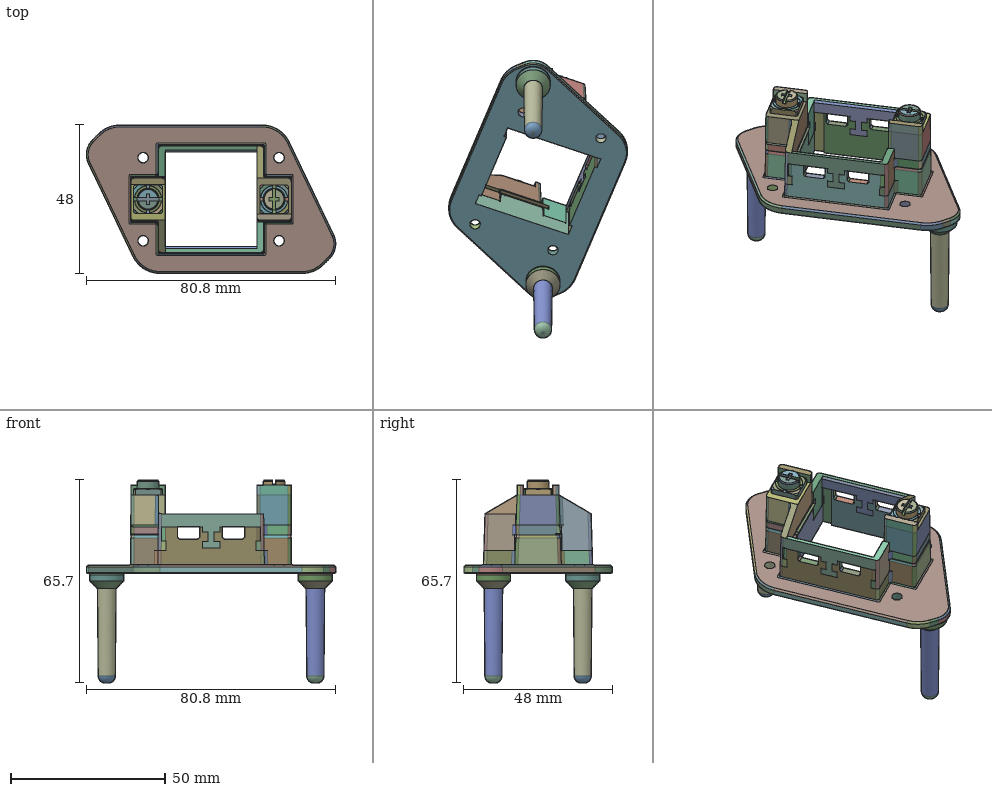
import cadquery as cq
import math


plate_thickness = 2.75
plate_half_depth = 48.05 / 2
plate_half_length = 80.75 / 2
plate_top_chamfer = 0.6
plate_bottom_chamfer = 0.35
nose_radius = 6.62
plate_corner_radius = 9.8
slant_angle = 25.6
nose_angle = -45
mount_hole_x = 22.0
mount_hole_y = 13.45
mount_hole_diameter = 3.3

pin_x = plate_half_length - nose_radius
pin_y = 14.45
pad_thickness = 0.45
pin_head_radius = 5.55
pin_head_bottom = -2.35
pin_cone_bottom = -4.9
pin_root_radius = 3.05
pin_end_radius = 2.8
pin_bottom = -35.5
pin_tip_radius = 2.4

wall_half_bottom = (17.25, 17.7)
wall_half_top = (16.95, 17.05)
tower_half_bottom = (26.03, 7.55)
tower_half_top = (25.98, 6.8)
frame_corner_radius = 1.05
foot_width = 0.5
foot_height = 0.25
opening_half_x = 14.8
opening_half_y = 15.27
band_bevel_width = 0.73
band_bevel_height = 0.6

side_split = 7.44
hook_top = 10.6
sill = 11.15
shoulder = 11.5
neck_bottom = 12.5
neck_top = 15.7
band_bottom = 15.1
band_top = 19.35
tower_top = 25.45
lug_top = 28.6

shoulder_inset = 0.25
neck_chamfer = 0.6
neck_relief = 0.3
neck_relief_length = 1.4
wall_gap = 0.2
lug_inner_y = 4.75
leg_edge_x = 16.05
hook_edge_x = 14.53
hook_depth = 1.0
wall_edge_radius = 1.25
key_half_width = 2.82
key_neck_half_width = 1.03
key_head_bottom = 13.45
key_foot_top = 10.45
key_bottom = 8.25
window_x = 7.25
window_width = 7.15
window_corner = 0.6
groove_x = 11.5
groove_half_y = 16.1
slot_depth = 1.0
slot_bottom = 12.95
slot_near_y = -9.3
slot_far_y = 13.4

terminal_x = 20.4
washer_side = 9.25
washer_thickness = 2.1
washer_edge_chamfer = 0.5
washer_corner_bevel = 1.9
washer_bevel_drop = 0.6
washer_land_radius = 4.4
washer_land_height = 0.15
washer_groove_width = 1.1
washer_groove_depth = 0.3
screw_radius = 3.55
screw_height = 2.65
screw_chamfer = 0.35
drive_width = 1.0
drive_depth = 1.15
cross_length = 3.3

far = 100.0


def box(x0, x1, y0, y1, z0, z1):
    return cq.Workplane("XY").box(x1 - x0, y1 - y0, z1 - z0, centered=False).translate((x0, y0, z0))


def half_turn(body):
    return body.rotate((0, 0, 0), (0, 0, 1), 180)


def with_half_turn(body):
    return body.union(half_turn(body))



def half_size(bottom, top, z):
    """Half lengths of a drafted block at height z."""
    share = (z - plate_thickness) / (tower_top - plate_thickness)
    return [b + share * (t - b) for b, t in zip(bottom, top)]


def drafted_block(bottom, top, z0, z1, inset_at_top=0.0, spread_at_bottom=0.0):
    """Block with rounded corners between two heights of a drafted envelope."""
    lower = [half + spread_at_bottom for half in half_size(bottom, top, z0)]
    upper = [half - inset_at_top for half in half_size(bottom, top, z1)]
    return (
        cq.Workplane("XY").workplane(offset=z0).rect(2 * lower[0], 2 * lower[1])
        .workplane(offset=z1 - z0).rect(2 * upper[0], 2 * upper[1])
        .loft(ruled=True)
        .edges("not(#Z)").fillet(frame_corner_radius)
    )


def wall_block(z0, z1, **edges):
    return drafted_block(wall_half_bottom, wall_half_top, z0, z1, **edges)


def tower_block(z0, z1, **edges):
    return drafted_block(tower_half_bottom, tower_half_top, z0, z1, **edges)


def inner_corner_webs():
    """Fillet material in the four inside corners between side walls and towers."""
    sharp = wall_block(plate_thickness, tower_top).union(tower_block(plate_thickness, tower_top))
    corner_z = (plate_thickness + tower_top) / 2
    corner_x = half_size(wall_half_bottom, wall_half_top, corner_z)[0]
    corner_y = half_size(tower_half_bottom, tower_half_top, corner_z)[1]
    rounded = sharp
    for sx in (-1, 1):
        for sy in (-1, 1):
            near = cq.selectors.NearestToPointSelector((sx * corner_x, sy * corner_y, corner_z))
            rounded = rounded.edges(near).fillet(frame_corner_radius)
    return rounded.cut(sharp)


opening = box(-opening_half_x, opening_half_x, -opening_half_y, opening_half_y, -far, far)
webs = inner_corner_webs()



def edge_crossing(first, second):
    """Crossing of two lines, each given as (direction of its normal, distance from the origin)."""
    (angle_1, d1), (angle_2, d2) = first, second
    a1 = math.radians(angle_1)
    a2 = math.radians(angle_2)
    det = math.sin(a2 - a1)
    return (
        (d1 * math.sin(a2) - d2 * math.sin(a1)) / det,
        (d2 * math.cos(a1) - d1 * math.cos(a2)) / det,
    )


def nose_edge(angle):
    """Plate edge that touches the round nose about the guide pin at (pin_x, -pin_y)."""
    a = math.radians(angle)
    return (angle, pin_x * math.cos(a) - pin_y * math.sin(a) + nose_radius)


def plate():
    back = (90, plate_half_depth)
    front = (-90, plate_half_depth)
    slant = nose_edge(slant_angle)
    nose = nose_edge(nose_angle)
    corners = [edge_crossing(back, slant), edge_crossing(slant, nose), edge_crossing(nose, front)]
    corners += [(-x, -y) for x, y in corners]
    body = cq.Workplane("XY").polyline(corners).close().extrude(plate_thickness)
    for index, (x, y) in enumerate(corners):
        radius = nose_radius if index % 3 == 1 else plate_corner_radius
        near = cq.selectors.NearestToPointSelector((x, y, plate_thickness / 2))
        body = body.edges(near).fillet(radius)
    body = body.faces(">Z").chamfer(plate_top_chamfer)
    body = body.faces("<Z").chamfer(plate_bottom_chamfer)
    for sign in (-1, 1):
        pad = cq.Workplane("XY").center(sign * pin_x, -sign * pin_y).circle(pin_head_radius)
        body = body.union(pad.extrude(-pad_thickness))
    return body


def key():
    """Double-T key that hangs from the front band into the lower frame's front wall."""
    y0, y1 = -far, -opening_half_y
    head = box(-key_half_width, key_half_width, y0, y1, key_head_bottom, band_bottom)
    neck = box(-key_neck_half_width, key_neck_half_width, y0, y1, key_bottom, band_bottom)
    foot = box(-key_half_width, key_half_width, y0, y1, key_bottom, key_foot_top)
    return head.union(neck).union(foot)


def hooks():
    """Hooks at the foot of the two front corner legs."""
    outer_y = half_size(wall_half_bottom, wall_half_top, hook_top)[1]
    right = box(hook_edge_x, leg_edge_x, -far, hook_depth - outer_y, side_split, hook_top)
    return right.union(right.mirror("YZ"))


def windows():
    """Front and back windows, open towards the bands."""
    body = None
    for x in (-window_x, window_x):
        opening_box = (
            box(x - window_width / 2, x + window_width / 2, -far, far, sill, band_top)
            .edges("<Z and |Y").chamfer(window_corner)
        )
        body = opening_box if body is None else body.union(opening_box)
    return body


def lower_long_walls():
    """Front and back walls of the lower frame between the legs of the halves."""
    ends = box(-leg_edge_x, leg_edge_x, -far, far, side_split, band_bottom)
    walls = wall_block(side_split, band_bottom).intersect(ends)
    for sx in (-1, 1):
        for y in (-wall_half_bottom[1], wall_half_bottom[1]):
            near = cq.selectors.NearestToPointSelector((sx * leg_edge_x, y, (side_split + band_bottom) / 2))
            walls = walls.edges(near).fillet(wall_edge_radius)
    recesses = with_half_turn(key().union(hooks()))
    between = box(-leg_edge_x, leg_edge_x, -opening_half_y, opening_half_y, side_split, band_bottom)
    return walls.cut(between).cut(recesses).cut(windows())


def corner_grooves():
    """Grooves up the inside of the long walls, beside the side walls."""
    corner = box(groove_x, opening_half_x, -groove_half_y, 0, -far, band_bottom)
    pair = corner.union(corner.mirror("YZ"))
    return with_half_turn(pair)


def base():
    outline = wall_block(plate_thickness, side_split).union(tower_block(plate_thickness, shoulder))
    outline = outline.union(tower_block(shoulder, neck_bottom, inset_at_top=shoulder_inset))
    outline = outline.union(webs.intersect(box(-far, far, -far, far, plate_thickness, side_split)))
    body = plate().union(outline)
    foot_top = plate_thickness + foot_height
    for block in (wall_block, tower_block):
        body = body.union(block(plate_thickness, foot_top, spread_at_bottom=foot_width))
    holes = (
        cq.Workplane("XY")
        .rect(2 * mount_hole_x, 2 * mount_hole_y, forConstruction=True).vertices()
        .circle(mount_hole_diameter / 2).extrude(plate_thickness)
    )
    return body.cut(opening).cut(holes).union(lower_long_walls()).cut(corner_grooves())



def tower_gap(x0, x1, z0, z1):
    """Space that keeps a side wall clear of the tower part of another body."""
    gap_y = half_size(tower_half_bottom, tower_half_top, z0)[1] + wall_gap
    return box(x0, x1, -gap_y, 0, z0, z1)


def half_walls():
    """U-shaped wall on the -Y side: front band, corner legs and two side walls."""
    walls = wall_block(side_split, tower_top).intersect(box(-far, far, -far, 0, side_split, tower_top))
    walls = walls.cut(opening)
    walls = walls.cut(box(-leg_edge_x, leg_edge_x, -far, -opening_half_y, side_split, band_bottom))
    walls = walls.cut(tower_block(plate_thickness, tower_top))
    walls = walls.cut(tower_gap(-far, 0, side_split, neck_top))
    walls = walls.cut(tower_gap(0, far, side_split, neck_bottom))
    walls = walls.cut(tower_gap(0, far, neck_top, tower_top))
    walls = walls.union(webs.intersect(box(-far, 0, -far, 0, neck_top, tower_top)))
    walls = walls.union(webs.intersect(box(0, far, -far, 0, neck_bottom, neck_top)))
    bevel = (
        cq.Workplane("YZ")
        .polyline([
            (-opening_half_y, band_top - band_bevel_height), (-opening_half_y, band_top),
            (-opening_half_y - band_bevel_width, band_top),
        ]).close().extrude(opening_half_x, both=True)
    )
    return walls.cut(bevel)


def tower_head():
    """Top of the left tower, with its lug on the +Y side."""
    left_side = box(-far, -opening_half_x, -far, far, neck_top, lug_top)
    head = tower_block(neck_top, tower_top).intersect(left_side)
    inner_edge = (-opening_half_x, tower_half_top[1], (neck_top + tower_top) / 2)
    head = head.edges(cq.selectors.NearestToPointSelector(inner_edge)).fillet(frame_corner_radius)
    lug = head.faces(">Z").wires().toPending().extrude(lug_top - tower_top, combine=False)
    return head.union(lug.intersect(box(-far, 0, lug_inner_y, far, tower_top, lug_top)))


def tower_neck():
    """Tongue under the other half's tower head, bevelled above and relieved below at its free end."""
    neck = tower_block(neck_bottom, neck_top).intersect(
        box(opening_half_x, far, -far, far, neck_bottom, neck_top)
    )
    end_y = half_size(tower_half_bottom, tower_half_top, neck_top)[1]
    bevel = (
        cq.Workplane("YZ")
        .polyline([
            (end_y - neck_chamfer, neck_top), (far, neck_top),
            (far, neck_top - neck_chamfer), (end_y, neck_top - neck_chamfer),
        ]).close().extrude(far)
    )
    relief = box(0, far, end_y - neck_relief_length, far, neck_bottom, neck_bottom + neck_relief)
    return neck.cut(bevel).cut(relief)


def side_slot():
    """Slot along the inside of the right side wall."""
    return box(0, opening_half_x + slot_depth, slot_near_y, slot_far_y, slot_bottom, band_bottom)


def trim_above_walls():
    """Space above the walls: level over the band and right side, sloping on the left side."""
    level = box(-opening_half_x, far, -far, 0, band_top, far)
    slope_top_y = -half_size(tower_half_bottom, tower_half_top, tower_top)[1]
    slope_end_y = -half_size(wall_half_bottom, wall_half_top, band_top)[1]
    slope = (
        cq.Workplane("YZ")
        .polyline([
            (0, tower_top), (slope_top_y, tower_top), (slope_end_y, band_top),
            (-far, band_top), (-far, far), (0, far),
        ]).close().extrude(-far)
    )
    return level.union(slope)


def frame_half():
    """Upper frame half with the left tower head and the neck of the right tower."""
    body = half_walls().cut(trim_above_walls())
    body = body.union(tower_head()).union(tower_neck())
    outer = wall_block(side_split, band_bottom)
    body = body.union(key().union(hooks()).intersect(outer))
    return body.cut(with_half_turn(side_slot()))



def guide_pin():
    pin = (
        cq.Workplane("XZ")
        .polyline([
            (0, -pad_thickness), (pin_head_radius, -pad_thickness), (pin_head_radius, pin_head_bottom),
            (pin_root_radius, pin_cone_bottom), (pin_end_radius, pin_bottom), (0, pin_bottom),
        ]).close().revolve(360, (0, 0, 0), (0, 1, 0))
        .faces("<Z").edges().fillet(pin_tip_radius)
    )
    return pin.translate((-pin_x, pin_y, 0))


def washer():
    half = washer_side / 2
    body = (
        cq.Workplane("XY").box(washer_side, washer_side, washer_thickness, centered=(True, True, False))
        .edges("|Z").chamfer(washer_edge_chamfer)
    )
    reach = half * math.sqrt(2)
    bevel_width = washer_corner_bevel / math.sqrt(2)
    bevel = (
        cq.Workplane("XZ")
        .polyline([
            (reach - bevel_width, washer_thickness), (reach, washer_thickness),
            (reach, washer_thickness - washer_bevel_drop),
        ]).close().extrude(half, both=True)
    )
    groove = box(screw_radius, half, -washer_groove_width / 2, washer_groove_width / 2,
                 washer_thickness - washer_groove_depth, washer_thickness)
    land_z = washer_thickness - washer_land_height
    around_land = box(-half, half, -half, half, land_z, washer_thickness)
    land = cq.Workplane("XY").workplane(offset=land_z).circle(washer_land_radius).extrude(washer_land_height)
    body = body.cut(around_land.cut(land))
    for quarter in range(4):
        body = body.cut(bevel.rotate((0, 0, 0), (0, 0, 1), 45 + 90 * quarter))
        body = body.cut(groove.rotate((0, 0, 0), (0, 0, 1), 90 * quarter))
    return body.translate((-terminal_x, 0, tower_top))


def terminal_screw(slot_turn):
    """Slotted screw on the left tower; slot_turn is the angle of its slot from X."""
    body = cq.Workplane("XY").circle(screw_radius).extrude(screw_height).faces(">Z").chamfer(screw_chamfer)
    drive_bottom = screw_height - drive_depth
    slot = cq.Workplane("XY").rect(2 * screw_radius, drive_width)
    cross = cq.Workplane("XY").rect(drive_width, cross_length)
    for recess in (slot, cross):
        body = body.cut(recess.extrude(drive_depth).translate((0, 0, drive_bottom)))
    body = body.rotate((0, 0, 0), (0, 0, 1), slot_turn)
    return body.translate((-terminal_x, 0, tower_top + washer_thickness))



bodies = [base().solids().val()]
for one in (frame_half(), guide_pin(), washer()):
    bodies += [one.solids().val(), half_turn(one).solids().val()]
bodies += [terminal_screw(0).solids().val(), half_turn(terminal_screw(90)).solids().val()]

result = cq.Compound.makeCompound(bodies)